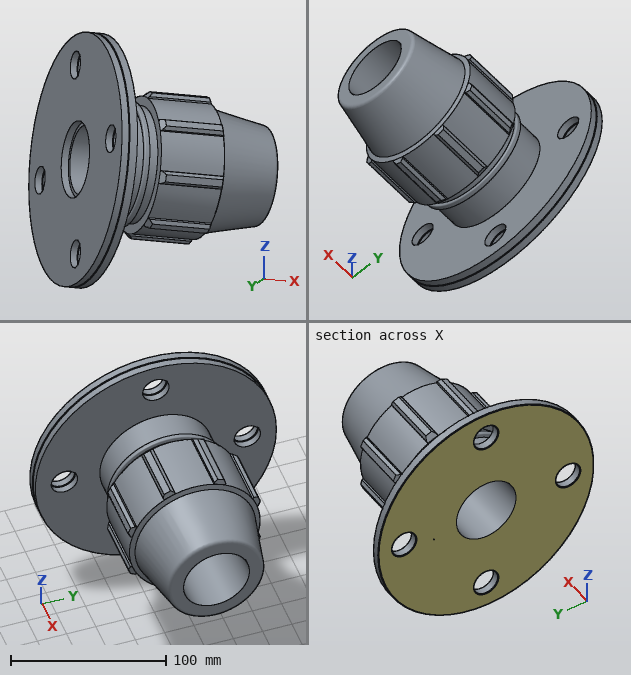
import cadquery as cq
import math

flange_diameter = 165.0
plate_thickness = 5.0
joint_width = 0.5
joint_depth = 0.5
flange_thickness = 10.7
bolt_hole_diameter = 18.0
bolt_circle_diameter = 125.0
bolt_count = 4

pipe_diameter = 76.7
bore_diameter = 45.0
counterbore_diameter = 50.0
collar_diameter = 82.2
collar_start = 32.2
collar_width = 3.6
collar_fillet = 0.8

nut_start = 42.0
nut_end = 86.0
nut_radius = 44.7
nut_bevel_length = 1.2
nose_base_radius = 41.2
nose_tip_radius = 32.7
nose_sag = 0.2
nose_edge_fillet = 2.5
total_length = 128.0

rib_count = 8
rib_foot_radius = 45.7
rib_top_radius = 48.0
rib_foot_width = 8.4
rib_top_width = 4.8
rib_root_radius = 42.9
rib_end_run = 1.2


def cylinder(diameter, start, length):
    """Solid cylinder along X."""
    return cq.Workplane("YZ", origin=(start, 0, 0)).circle(diameter / 2).extrude(length)


def ring(outer_diameter, inner_diameter, start, length):
    """Hollow cylinder along X."""
    return cylinder(outer_diameter, start, length).cut(cylinder(inner_diameter, start, length))


def make_flange():
    flange = cylinder(flange_diameter, 0, flange_thickness)
    joint_floor_diameter = flange_diameter - 2 * joint_depth
    flange = flange.cut(ring(flange_diameter, joint_floor_diameter, plate_thickness, joint_width))
    for i in range(bolt_count):
        angle = 2 * math.pi * i / bolt_count
        hole_y = bolt_circle_diameter / 2 * math.cos(angle)
        hole_z = bolt_circle_diameter / 2 * math.sin(angle)
        hole = cylinder(bolt_hole_diameter, 0, flange_thickness)
        joint = cylinder(bolt_hole_diameter + 2 * joint_depth, plate_thickness, joint_width)
        flange = flange.cut(hole.union(joint).translate((0, hole_y, hole_z)))
    return flange


def make_collar():
    return cylinder(collar_diameter, collar_start, collar_width).edges().fillet(collar_fillet)


def make_nut_and_nose():
    """Revolved nut body with a bevelled end, running into the slightly concave nose."""
    nose_start = nut_end + nut_bevel_length
    nose_middle = (
        (nose_start + total_length) / 2,
        (nose_base_radius + nose_tip_radius) / 2 - nose_sag,
    )
    body = (
        cq.Workplane("XY")
        .moveTo(nut_start, 0)
        .lineTo(nut_start, nut_radius)
        .lineTo(nut_end, nut_radius)
        .lineTo(nose_start, nose_base_radius)
        .threePointArc(nose_middle, (total_length, nose_tip_radius))
        .lineTo(total_length, 0)
        .close()
        .revolve(360, (0, 0, 0), (1, 0, 0))
    )
    return body.faces(">X").edges().fillet(nose_edge_fillet)


def make_rib():
    """Rib on the +Z side: trapezoid section trimmed by sloped ends."""
    half_foot = rib_foot_width / 2
    half_top = rib_top_width / 2
    section = (
        cq.Workplane("YZ", origin=(nut_start, 0, 0))
        .polyline([
            (-half_foot, rib_root_radius),
            (half_foot, rib_root_radius),
            (half_foot, rib_foot_radius),
            (half_top, rib_top_radius),
            (-half_top, rib_top_radius),
            (-half_foot, rib_foot_radius),
        ])
        .close()
        .extrude(nut_end - nut_start)
    )
    rib_height = rib_top_radius - nut_radius
    side_profile = (
        cq.Workplane("XZ")
        .polyline([
            (nut_start, rib_root_radius),
            (nut_start, nut_radius),
            (nut_start + rib_height, rib_top_radius),
            (nut_end - rib_end_run, rib_top_radius),
            (nut_end, nut_radius),
            (nut_end, rib_root_radius),
        ])
        .close()
        .extrude(half_foot, both=True)
    )
    return section.intersect(side_profile)


result = make_flange()
result = result.union(cylinder(pipe_diameter, 0, nut_start))
result = result.union(make_collar())
result = result.union(make_nut_and_nose())

rib = make_rib()
rib_pitch = 360 / rib_count
for i in range(rib_count):
    result = result.union(rib.rotate((0, 0, 0), (1, 0, 0), (i + 0.5) * rib_pitch))

result = result.cut(cylinder(bore_diameter, 0, total_length))
result = result.cut(cylinder(counterbore_diameter, 0, plate_thickness))